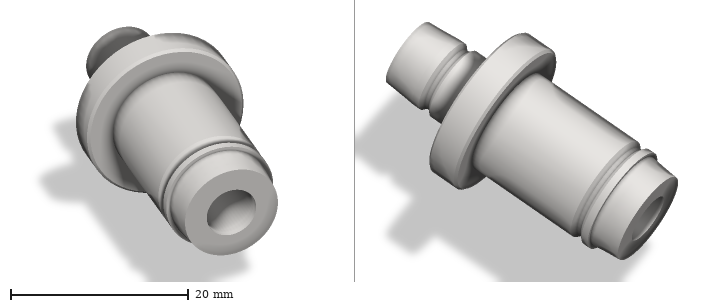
import cadquery as cq

total_length = 34.0
bore_diameter = 6.0

flange_diameter = 19.0
flange_start = 10.0
flange_thickness = 4.0
flange_chamfer = 0.3

spigot_diameter = 9.0
spigot_tip_diameter = 8.35
spigot_taper_length = 4.0

barrel_diameter = 13.0
nose_root_diameter = 12.0
nose_tip_diameter = 11.3
nose_length = 3.6

groove_depth = 0.5
groove_floor_width = 0.5
groove_width = groove_floor_width + 2 * groove_depth
groove_land = 0.9

flange_end = flange_start + flange_thickness
nose_start = total_length - nose_length
spigot_groove_start = spigot_taper_length + groove_land
barrel_groove_start = nose_start - groove_land - groove_width


def groove_points(start, body_diameter):
    """Profile points of a groove running in +X from start, as (x, radius)."""
    body_radius = body_diameter / 2
    floor_radius = body_radius - groove_depth
    floor_start = start + groove_depth
    return [
        (start, body_radius),
        (floor_start, floor_radius),
        (floor_start + groove_floor_width, floor_radius),
        (start + groove_width, body_radius),
    ]


def flange_points():
    """Profile points of the flange with both rims chamfered, as (x, radius)."""
    rim_radius = flange_diameter / 2
    face_radius = rim_radius - flange_chamfer
    return [
        (flange_start, spigot_diameter / 2),
        (flange_start, face_radius),
        (flange_start + flange_chamfer, rim_radius),
        (flange_end - flange_chamfer, rim_radius),
        (flange_end, face_radius),
        (flange_end, barrel_diameter / 2),
    ]


half_section = [
    (0, bore_diameter / 2),
    (0, spigot_tip_diameter / 2),
    (spigot_taper_length, spigot_diameter / 2),
    *groove_points(spigot_groove_start, spigot_diameter),
    *flange_points(),
    *groove_points(barrel_groove_start, barrel_diameter),
    (nose_start, barrel_diameter / 2),
    (nose_start, nose_root_diameter / 2),
    (total_length, nose_tip_diameter / 2),
    (total_length, bore_diameter / 2),
]

result = cq.Workplane("XY").polyline(half_section).close().revolve(360, (0, 0, 0), (1, 0, 0))